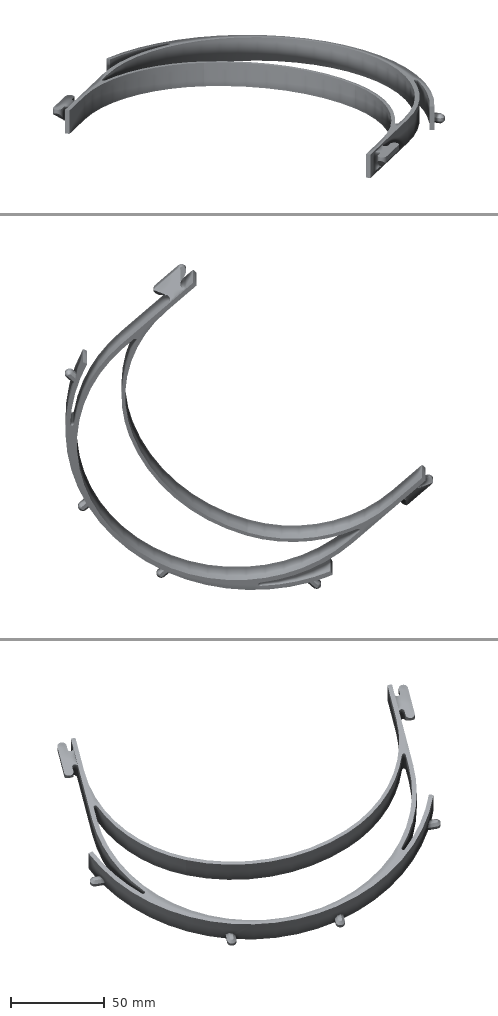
import cadquery as cq
import math


HEIGHT = 13.5

HEAD_INNER_R = 85.0
HEAD_THICK = 2.5
HEAD_OUTER_R = HEAD_INNER_R + HEAD_THICK
LEG_LENGTH = 55.0

VISOR_OUTER_R = 100.0
VISOR_CENTER_Y = HEAD_OUTER_R - VISOR_OUTER_R
VISOR_THICK = 2.5
VISOR_INNER_R = VISOR_OUTER_R - VISOR_THICK
VISOR_HALF_ANGLE = 70.1
VISOR_CROTCH_R = 1.0

ARCH_THICK = 2.0
ARCH_INNER_TOP_Y = 45.0
ARCH_MIDDLE_R = 97.5
ARCH_JOINT_X = 43.3
ARCH_CROTCH_R = 1.0

PEG_WIDTH = 5.0
PEG_HEIGHT = 5.0
PEG_CHAMFER = 1.5
PEG_ROOT = 8.0
FRONT_PEG_X = 29.55
FRONT_PEG_TIP_Y = 88.77
SIDE_PEG_Y = 32.66

HALF_WIDTH = 95.51
HOOK_CENTER_Y = -43.0
HOOK_LENGTH = 22.5
HOOK_HEAD_WIDTH = 5.0
HOOK_NECK_LENGTH = 9.0
HOOK_TOP_Z = 12.5
HOOK_TIP_Z = 9.5
HOOK_END_Z = 10.4
HOOK_ROOT = 1.0


def polar(radius, degrees, center_y=0.0):
    """Point on a circle centred on the Y axis, measured from +Y toward -X."""
    angle = math.radians(degrees)
    return (-radius * math.sin(angle), center_y + radius * math.cos(angle))


def mirrored(point):
    return (-point[0], point[1])


def both_sides(shape):
    return shape.union(shape.mirror("YZ"))


def head_band():
    return (
        cq.Workplane("XY")
        .moveTo(-HEAD_OUTER_R, -LEG_LENGTH)
        .lineTo(-HEAD_OUTER_R, 0)
        .threePointArc((0, HEAD_OUTER_R), (HEAD_OUTER_R, 0))
        .lineTo(HEAD_OUTER_R, -LEG_LENGTH)
        .lineTo(HEAD_INNER_R, -LEG_LENGTH)
        .lineTo(HEAD_INNER_R, 0)
        .threePointArc((0, HEAD_INNER_R), (-HEAD_INNER_R, 0))
        .lineTo(-HEAD_INNER_R, -LEG_LENGTH)
        .close()
        .extrude(HEIGHT)
    )


def visor_band():
    outer_end = polar(VISOR_OUTER_R, VISOR_HALF_ANGLE, VISOR_CENTER_Y)
    inner_end = polar(VISOR_INNER_R, VISOR_HALF_ANGLE, VISOR_CENTER_Y)
    band = (
        cq.Workplane("XY")
        .moveTo(*outer_end)
        .threePointArc((0, VISOR_CENTER_Y + VISOR_OUTER_R), mirrored(outer_end))
        .lineTo(*mirrored(inner_end))
        .threePointArc((0, VISOR_CENTER_Y + VISOR_INNER_R), inner_end)
        .close()
        .extrude(HEIGHT)
    )
    head_opening = cq.Workplane("XY").circle(HEAD_INNER_R).extrude(HEIGHT)
    return band.cut(head_opening)


def circle_crossing(center_y, radius, other_radius):
    """Left crossing of a circle at (0, center_y) with a circle of other_radius at the origin."""
    y = (center_y**2 + other_radius**2 - radius**2) / (2 * center_y)
    return (-math.sqrt(other_radius**2 - y**2), y)


def toward(start, end, distance):
    """Point at the given distance from start on the line to end."""
    length = math.dist(start, end)
    return tuple(a + (b - a) * distance / length for a, b in zip(start, end))


def visor_crotch():
    """Web that rounds the narrow gap between the visor band and the head band."""
    visor_center = (0, VISOR_CENTER_Y)
    round_center = circle_crossing(
        VISOR_CENTER_Y, VISOR_INNER_R - VISOR_CROTCH_R, HEAD_OUTER_R + VISOR_CROTCH_R
    )
    on_visor = toward(visor_center, round_center, VISOR_INNER_R)
    on_head = toward((0, 0), round_center, HEAD_OUTER_R)
    apex = circle_crossing(VISOR_CENTER_Y, VISOR_INNER_R, HEAD_OUTER_R)
    bottom = toward(round_center, apex, VISOR_CROTCH_R)
    between = ((on_visor[0] + apex[0]) / 2, (on_visor[1] + apex[1]) / 2)
    return (
        cq.Workplane("XY")
        .moveTo(*on_head)
        .threePointArc(bottom, on_visor)
        .threePointArc(toward(visor_center, between, VISOR_INNER_R), apex)
        .close()
        .extrude(HEIGHT)
    )


ARCH_CENTER_Y = ARCH_INNER_TOP_Y - ARCH_MIDDLE_R
JOINT_SINE = ARCH_JOINT_X / ARCH_MIDDLE_R
JOINT_ANGLE = math.degrees(math.asin(JOINT_SINE))
ARCH_SIDE_R = (HEAD_INNER_R - ARCH_JOINT_X) / (1 - JOINT_SINE)
ARCH_SIDE_CENTER = polar(ARCH_MIDDLE_R - ARCH_SIDE_R, JOINT_ANGLE, ARCH_CENTER_Y)


def arch_side_point(radius, degrees):
    x, y = polar(radius, degrees, ARCH_SIDE_CENTER[1])
    return (x + ARCH_SIDE_CENTER[0], y)


def forehead_arch():
    outer_middle_r = ARCH_MIDDLE_R + ARCH_THICK
    outer_side_r = ARCH_SIDE_R + ARCH_THICK
    side_mid_angle = (JOINT_ANGLE + 90) / 2
    inner_joint = polar(ARCH_MIDDLE_R, JOINT_ANGLE, ARCH_CENTER_Y)
    outer_joint = polar(outer_middle_r, JOINT_ANGLE, ARCH_CENTER_Y)
    inner_foot = arch_side_point(ARCH_SIDE_R, 90)
    outer_foot = arch_side_point(outer_side_r, 90)
    inner_side = arch_side_point(ARCH_SIDE_R, side_mid_angle)
    outer_side = arch_side_point(outer_side_r, side_mid_angle)
    return (
        cq.Workplane("XY")
        .moveTo(*outer_foot)
        .threePointArc(outer_side, outer_joint)
        .threePointArc((0, ARCH_CENTER_Y + outer_middle_r), mirrored(outer_joint))
        .threePointArc(mirrored(outer_side), mirrored(outer_foot))
        .lineTo(*mirrored(inner_foot))
        .threePointArc(mirrored(inner_side), mirrored(inner_joint))
        .threePointArc((0, ARCH_CENTER_Y + ARCH_MIDDLE_R), inner_joint)
        .threePointArc(inner_side, inner_foot)
        .close()
        .extrude(HEIGHT)
    )


def arch_crotch():
    """Web that rounds the narrow gap between the arch and the leg."""
    center_x, center_y = ARCH_SIDE_CENTER
    outer_side_r = ARCH_SIDE_R + ARCH_THICK
    round_x = -HEAD_INNER_R + ARCH_CROTCH_R
    round_y = center_y + math.sqrt((outer_side_r + ARCH_CROTCH_R) ** 2 - (center_x - round_x) ** 2)
    round_center = (round_x, round_y)
    apex = (-HEAD_INNER_R, center_y + math.sqrt(outer_side_r**2 - ARCH_SIDE_R**2))
    on_arch = toward(ARCH_SIDE_CENTER, round_center, outer_side_r)
    return (
        cq.Workplane("XY")
        .moveTo(*apex)
        .lineTo(-HEAD_INNER_R, round_y)
        .threePointArc(toward(round_center, apex, ARCH_CROTCH_R), on_arch)
        .close()
        .extrude(HEIGHT)
    )


def peg():
    """Round-ended chamfered peg with its tip at the origin, pointing toward -X."""
    half = PEG_WIDTH / 2
    return (
        cq.Workplane("XY")
        .moveTo(PEG_ROOT, -half)
        .lineTo(half, -half)
        .threePointArc((0, 0), (half, half))
        .lineTo(PEG_ROOT, half)
        .close()
        .extrude(PEG_HEIGHT)
        .faces("<Z or >Z")
        .edges("not >X")
        .chamfer(PEG_CHAMFER)
    )


def visor_pegs():
    visor_opening = cq.Workplane("XY").center(0, VISOR_CENTER_Y).circle(VISOR_INNER_R).extrude(HEIGHT)
    side_peg = peg().translate((-HALF_WIDTH, SIDE_PEG_Y, 0))
    front_peg = peg().rotate((0, 0, 0), (0, 0, 1), -90).translate((-FRONT_PEG_X, FRONT_PEG_TIP_Y, 0))
    pegs = side_peg.union(front_peg)
    return both_sides(pegs.cut(visor_opening))


def strap_hook():
    """T-shaped hook on the left leg, with 45 degree undersides at its tip and both ends."""
    root_x = HALF_WIDTH - HEAD_OUTER_R + HOOK_ROOT
    gap = HALF_WIDTH - HEAD_OUTER_R - HOOK_HEAD_WIDTH
    half_length = HOOK_LENGTH / 2
    half_root = (HOOK_NECK_LENGTH + gap) / 2
    overhang_z = HOOK_END_Z - (half_length - half_root)

    head = (
        cq.Workplane("XY")
        .center(HOOK_HEAD_WIDTH / 2, 0)
        .slot2D(HOOK_LENGTH, HOOK_HEAD_WIDTH, 90)
        .extrude(HOOK_TOP_Z)
    )
    neck_start = HOOK_HEAD_WIDTH / 2
    neck = (
        cq.Workplane("XY")
        .rect(root_x - neck_start, 2 * half_root)
        .extrude(HOOK_TOP_Z)
        .translate(((root_x + neck_start) / 2, 0, 0))
    )
    groove_x = HOOK_HEAD_WIDTH + gap / 2
    grooves = (
        cq.Workplane("XY")
        .pushPoints([(groove_x, half_root), (groove_x, -half_root)])
        .circle(gap / 2)
        .extrude(HOOK_TOP_Z)
    )
    tip_limit = (
        cq.Workplane("XZ")
        .polyline([(0, HOOK_TIP_Z), (0, HOOK_TOP_Z), (root_x, HOOK_TOP_Z), (root_x, HOOK_TIP_Z - root_x)])
        .close()
        .extrude(half_length, both=True)
    )
    end_limit = (
        cq.Workplane("YZ")
        .polyline(
            [
                (-half_length, HOOK_TOP_Z),
                (-half_length, HOOK_END_Z),
                (-half_root, overhang_z),
                (-half_root, 0),
                (half_root, 0),
                (half_root, overhang_z),
                (half_length, HOOK_END_Z),
                (half_length, HOOK_TOP_Z),
            ]
        )
        .close()
        .extrude(root_x)
    )
    hook = head.union(neck).cut(grooves).intersect(tip_limit).intersect(end_limit)
    return hook.translate((-HALF_WIDTH, HOOK_CENTER_Y, 0))


result = (
    head_band()
    .union(visor_band())
    .union(forehead_arch())
    .union(both_sides(visor_crotch()))
    .union(both_sides(arch_crotch()))
    .union(visor_pegs())
    .union(both_sides(strap_hook()))
)